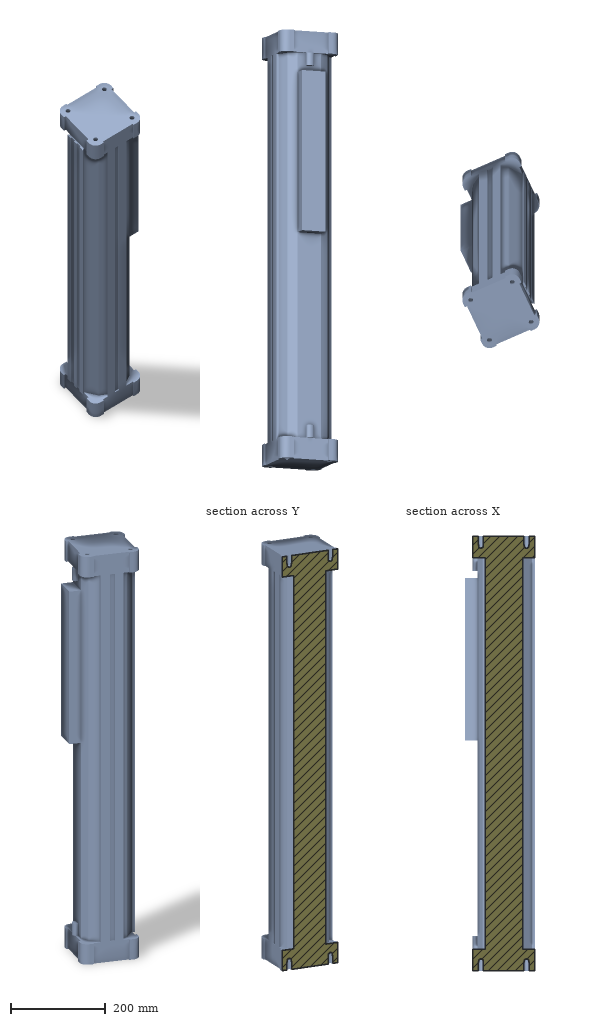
import cadquery as cq
import math

total_length = 920.0
total_depth = 147.0
cap_size = 132.0
cap_half = cap_size / 2

cap_height = 46.0
corner_radius = 17.5
lug_inner = 40.0
relief_face_x = 63.0
relief_face_y = 61.0

screw_offset = cap_half - corner_radius
thread_diameter = 10.0
core_diameter = 8.4
thread_depth = 18.0
core_depth = 23.0
drill_tip_angle = 118.0

track_y = 55.0
track_half = 27.0
upper_corner = (45.0, 44.0)
upper_root = (57.0, 24.0)
side_lip_top = 23.0
side_lip_bottom = -28.0
lower_root = (57.0, -24.0)
lower_corner = (49.0, -40.5)
foot_root = (23.0, -60.0)
foot_half = track_half
barrel_edge_radius = 9.0
slot_width = 11.0
side_slot_y = -3.0
foot_slot_x = 9.7
slot_depth = 3.0

band_half = 8.0
band_thickness = 5.0
clamp_radius = 9.0
clamp_top_y = cap_half
clamp_length = 28.0

carriage_bottom = 488.0
carriage_length = 344.0
carriage_top_y = total_depth - cap_half

barrel_length = total_length - 2 * cap_height


def box(x_min, x_max, y_min, y_max, z_min, z_max):
    """Axis-aligned block between the given limits."""
    size = (x_max - x_min, y_max - y_min, z_max - z_min)
    return cq.Workplane("XY").box(*size, centered=False).translate((x_min, y_min, z_min))


def make_barrel():
    """Extruded profile with dovetail lips on the sides and the foot."""
    half_outline = [
        (track_half, track_y),
        upper_corner,
        upper_root,
        (relief_face_x, side_lip_top),
        (relief_face_x, side_lip_bottom),
        lower_root,
        lower_corner,
        foot_root,
        (foot_half, -cap_half),
    ]
    mirrored = [(-x, y) for x, y in reversed(half_outline)]
    barrel = (
        cq.Workplane("XY", origin=(0, 0, cap_height))
        .polyline(half_outline + mirrored).close().extrude(barrel_length)
    )
    for corner_x, corner_y in (upper_corner, lower_corner):
        for side in (-1, 1):
            x = side * corner_x
            nearest_edge = cq.selectors.NearestToPointSelector((x, corner_y, total_length / 2))
            barrel = barrel.edges("|Z").edges(nearest_edge).fillet(barrel_edge_radius)
    return barrel


def cut_slots(barrel):
    """One slot in each side lip and two in the foot, over the whole barrel."""
    z_limits = (cap_height, total_length - cap_height)
    for side in (-1, 1):
        side_x = sorted((side * relief_face_x, side * (relief_face_x - slot_depth)))
        barrel = barrel.cut(
            box(*side_x, side_slot_y - slot_width / 2, side_slot_y + slot_width / 2, *z_limits)
        )
        foot_x = side * foot_slot_x
        barrel = barrel.cut(
            box(foot_x - slot_width / 2, foot_x + slot_width / 2,
                -cap_half, -cap_half + slot_depth, *z_limits)
        )
    return barrel


def make_cap(z_bottom):
    """Square cap whose four faces are relieved between rounded corner lugs."""
    cap = (
        cq.Workplane("XY", origin=(0, 0, z_bottom))
        .rect(cap_size, cap_size).extrude(cap_height)
        .edges("|Z").fillet(corner_radius)
    )
    z_limits = (z_bottom, z_bottom + cap_height)
    for side in (-1, 1):
        relief_x = sorted((side * relief_face_x, side * cap_half))
        relief_y = sorted((side * relief_face_y, side * cap_half))
        cap = cap.cut(box(*relief_x, -lug_inner, lug_inner, *z_limits))
        cap = cap.cut(box(-lug_inner, lug_inner, *relief_y, *z_limits))
    return cap


def cut_screw_holes(housing):
    """Stepped blind holes with a drill tip, cut into both outer faces."""
    tip_length = core_diameter / 2 / math.tan(math.radians(drill_tip_angle / 2))
    top_hole = (
        cq.Workplane("XZ")
        .polyline([
            (0, total_length),
            (thread_diameter / 2, total_length),
            (thread_diameter / 2, total_length - thread_depth),
            (core_diameter / 2, total_length - thread_depth),
            (core_diameter / 2, total_length - core_depth),
            (0, total_length - core_depth - tip_length),
        ])
        .close().revolve(360, (0, 0, 0), (0, 1, 0))
    )
    bottom_hole = top_hole.mirror("XY", (0, 0, total_length / 2))
    for x in (-screw_offset, screw_offset):
        for y in (-screw_offset, screw_offset):
            housing = housing.cut(top_hole.translate((x, y, 0)))
            housing = housing.cut(bottom_hole.translate((x, y, 0)))
    return housing


def make_band():
    """Strip flush with the track, rising into a round-topped clamp at each cap."""
    z_limits = (cap_height, total_length - cap_height)
    band = box(-band_half, band_half, track_y - band_thickness, track_y, *z_limits)
    shoulder_y = clamp_top_y - clamp_radius + math.sqrt(clamp_radius**2 - band_half**2)
    for z_bottom in (cap_height, total_length - cap_height - clamp_length):
        clamp = (
            cq.Workplane("XY", origin=(0, 0, z_bottom))
            .moveTo(-band_half, track_y)
            .lineTo(-band_half, shoulder_y)
            .threePointArc((0, clamp_top_y), (band_half, shoulder_y))
            .lineTo(band_half, track_y)
            .close().extrude(clamp_length)
        )
        band = band.union(clamp)
    return band.clean()


def make_housing(band):
    """Barrel and both caps in one piece, with the screw holes and the band seat."""
    housing = cut_slots(make_barrel())
    for z_bottom in (0, total_length - cap_height):
        housing = housing.union(make_cap(z_bottom))
    return cut_screw_holes(housing).cut(band).clean()


def make_carriage():
    """Block that rides on the track and covers the band."""
    return box(-track_half, track_half, track_y, carriage_top_y,
               carriage_bottom, carriage_bottom + carriage_length)


band = make_band()
housing = make_housing(band)
carriage = make_carriage()

result = cq.Compound.makeCompound([housing.val(), band.val(), carriage.val()])